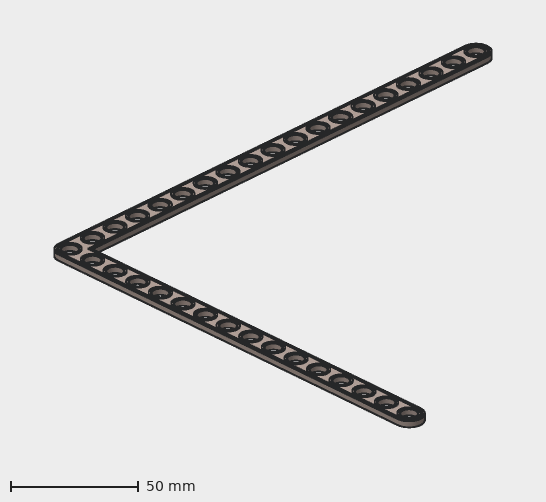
import cadquery as cq

LONG_SIDE = 237.5
LONG_HOLES = 19
SHORT_HOLES = 16
THICKNESS = 3.0
HOLE_DIAMETER = 7.0
COLLAR_DIAMETER = 9.3
RIM_WIDTH = 1.15
CHANNEL_DEPTH = 0.3
EDGE_CHAMFER = 0.35

PITCH = LONG_SIDE / LONG_HOLES
STRIP_WIDTH = PITCH
CHANNEL_WIDTH = STRIP_WIDTH - 2 * RIM_WIDTH
CHANNEL_FLOOR = THICKNESS - CHANNEL_DEPTH
LONG_REACH = (LONG_HOLES - 1) * PITCH
SHORT_REACH = (SHORT_HOLES - 1) * PITCH


def angle_strip(width, bottom, height):
    """Flat L centred on the corner hole, with round arm ends and a round outer corner."""
    half = width / 2
    return (
        cq.Workplane("XY", origin=(0, 0, bottom))
        .moveTo(0, -half)
        .lineTo(SHORT_REACH, -half)
        .threePointArc((SHORT_REACH + half, 0), (SHORT_REACH, half))
        .lineTo(half, half)
        .lineTo(half, LONG_REACH)
        .threePointArc((0, LONG_REACH + half), (-half, LONG_REACH))
        .lineTo(-half, 0)
        .radiusArc((0, -half), -half)
        .close()
        .extrude(height)
    )


def hole_centres():
    """One row of holes along each arm, sharing the corner hole."""
    along_y = [(0, i * PITCH) for i in range(LONG_HOLES)]
    along_x = [(i * PITCH, 0) for i in range(1, SHORT_HOLES)]
    return along_y + along_x


def discs(diameter, bottom, height):
    """Upright cylinders on every hole centre."""
    return (
        cq.Workplane("XY", origin=(0, 0, bottom))
        .pushPoints(hole_centres())
        .circle(diameter / 2)
        .extrude(height)
    )


def drilled_plate():
    """Plate with through holes; the outline and the holes are chamfered on top."""
    plate = angle_strip(STRIP_WIDTH, 0, THICKNESS)
    plate = plate.cut(discs(HOLE_DIAMETER, 0, THICKNESS))
    return plate.faces(">Z").edges().chamfer(EDGE_CHAMFER)


def sunken_channel():
    """Shallow recess along both arms that leaves a rim and a collar around each hole."""
    channel = angle_strip(CHANNEL_WIDTH, CHANNEL_FLOOR, CHANNEL_DEPTH)
    return channel.cut(discs(COLLAR_DIAMETER, CHANNEL_FLOOR, CHANNEL_DEPTH))


result = drilled_plate().cut(sunken_channel())